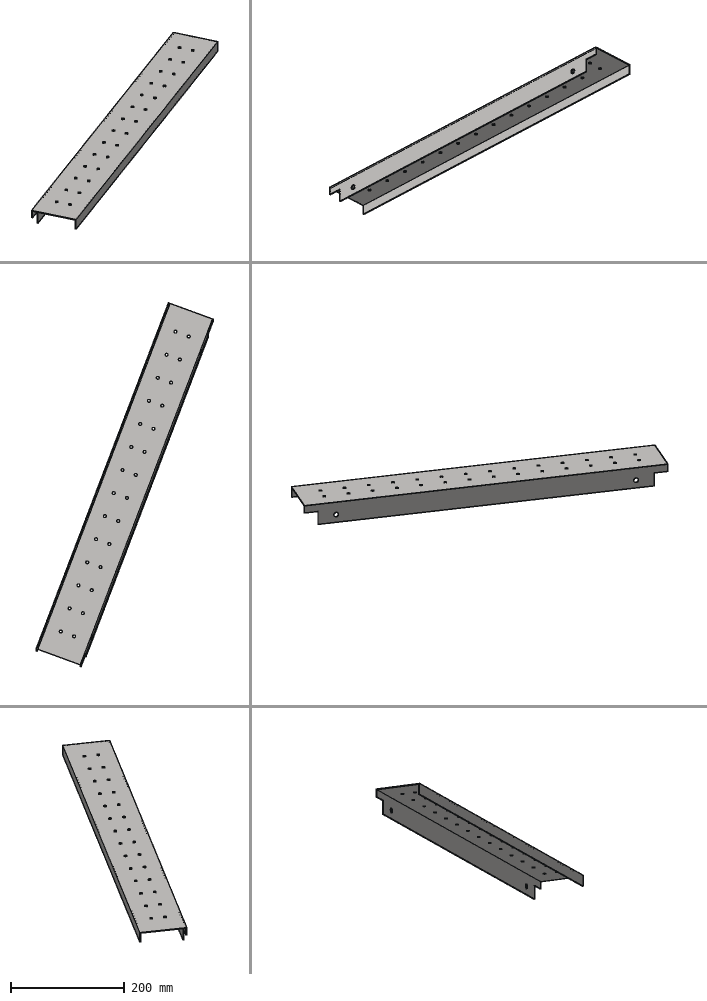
import cadquery as cq

WIDTH = 85.0
HOLE_ROW_PITCH = 44.45
HOLE_ROWS = 14
LENGTH = (HOLE_ROWS + 1) * HOLE_ROW_PITCH
SHEET = 2.0

TALL_FLANGE = 40.0
SHORT_FLANGE = 20.0

NOTCH_LENGTH = 25.0
NOTCH_TOP_DEPTH = 15.0

WEB_HOLE_DIAMETER = 5.0
WEB_HOLE_SPACING = 25.0

MOUNT_HOLE_DIAMETER = 8.5
MOUNT_HOLE_SPACING = 550.0
MOUNT_HOLE_DEPTH = 25.0


def channel():
    """Unequal channel, centred on X and Y, with its top face at Z = 0."""
    left = -WIDTH / 2
    right = WIDTH / 2
    outline = [
        (left, 0),
        (right, 0),
        (right, -SHORT_FLANGE),
        (right - SHEET, -SHORT_FLANGE),
        (right - SHEET, -SHEET),
        (left + SHEET, -SHEET),
        (left + SHEET, -TALL_FLANGE),
        (left, -TALL_FLANGE),
    ]
    return cq.Workplane("XZ").polyline(outline).close().extrude(LENGTH / 2, both=True)


def end_notches():
    """Blocks that shorten the lower part of the tall flange at both ends."""
    notch_height = TALL_FLANGE - NOTCH_TOP_DEPTH
    centre_x = -WIDTH / 2 + SHEET / 2
    centre_y = (LENGTH - NOTCH_LENGTH) / 2
    centre_z = -TALL_FLANGE + notch_height / 2
    return (
        cq.Workplane("XY", origin=(centre_x, 0, centre_z))
        .pushPoints([(0, -centre_y), (0, centre_y)])
        .box(SHEET, NOTCH_LENGTH, notch_height)
    )


def web_holes():
    """Two columns of evenly pitched holes through the web."""
    return (
        cq.Workplane("XY")
        .rarray(WEB_HOLE_SPACING, HOLE_ROW_PITCH, 2, HOLE_ROWS)
        .circle(WEB_HOLE_DIAMETER / 2)
        .extrude(-SHEET)
    )


def mount_holes():
    """One hole near each end of the tall flange."""
    return (
        cq.Workplane("YZ", origin=(-WIDTH / 2, 0, -MOUNT_HOLE_DEPTH))
        .pushPoints([(-MOUNT_HOLE_SPACING / 2, 0), (MOUNT_HOLE_SPACING / 2, 0)])
        .circle(MOUNT_HOLE_DIAMETER / 2)
        .extrude(SHEET)
    )


result = channel().cut(end_notches()).cut(web_holes()).cut(mount_holes())